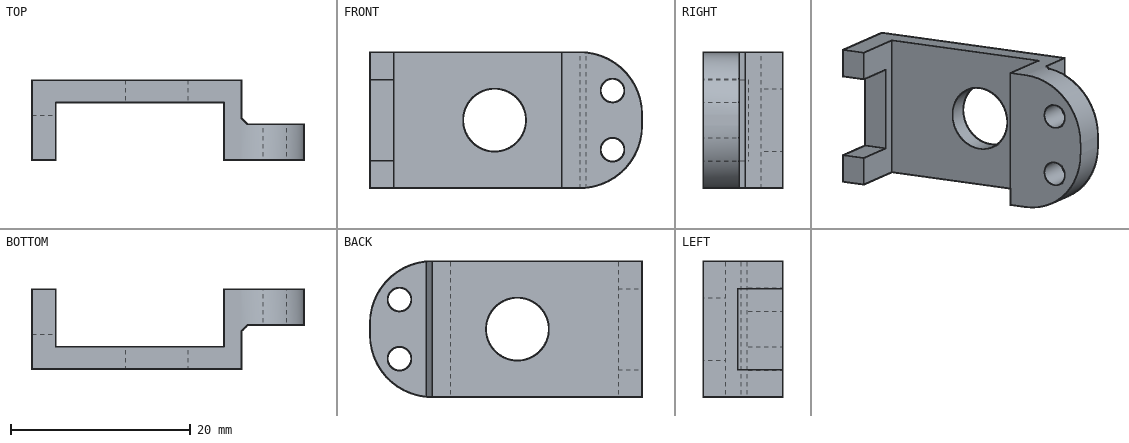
import cadquery as cq

length = 30.37
depth = 8.9
height = 15.2

left_wall = 2.67
right_wall = 1.97
back_plate = 2.5
channel_length = 23.4

notch_height = 9.05
notch_depth = 5.0

tab_thickness = 4.0
tab_corner_radius = length - channel_length
root_chamfer = 0.67

main_hole_diameter = 7.0
main_hole_x = 13.9
tab_hole_diameter = 2.6
tab_hole_x = 27.05
tab_hole_spacing = 6.6


def block(x_start, x_end, y_start, y_end, block_height):
    """Box between the given X and Y limits, centred on Z = 0."""
    return (
        cq.Workplane("XY")
        .box(x_end - x_start, y_end - y_start, block_height, centered=(False, False, True))
        .translate((x_start, y_start, 0))
    )


def hole_along_y(x, z, diameter):
    """Cylinder running through the full depth of the bracket."""
    return (
        cq.Workplane("XZ")
        .center(x, z)
        .circle(diameter / 2)
        .extrude(-depth)
    )


def make_channel():
    body = block(0, channel_length, 0, depth, height)
    opening = block(left_wall, channel_length - right_wall, 0, depth - back_plate, height)
    notch = block(0, left_wall, 0, notch_depth, notch_height)
    return body.cut(opening).cut(notch)


def make_tab():
    """Tab with a sloped root against the right wall, trimmed to the rounded end outline."""
    tab_start = channel_length - right_wall
    root_end_y = tab_thickness + root_chamfer
    blank = (
        cq.Workplane("XY")
        .workplane(offset=-height / 2)
        .polyline([
            (tab_start, 0),
            (length, 0),
            (length, tab_thickness),
            (channel_length + root_chamfer, tab_thickness),
            (channel_length, root_end_y),
            (tab_start, root_end_y),
        ])
        .close()
        .extrude(height)
    )
    rounded_end = block(tab_start, length, 0, depth, height).edges("|Y and >X").fillet(tab_corner_radius)
    return blank.intersect(rounded_end)


result = make_channel().union(make_tab())
result = result.cut(hole_along_y(main_hole_x, 0, main_hole_diameter))
for side in (-1, 1):
    result = result.cut(hole_along_y(tab_hole_x, side * tab_hole_spacing / 2, tab_hole_diameter))